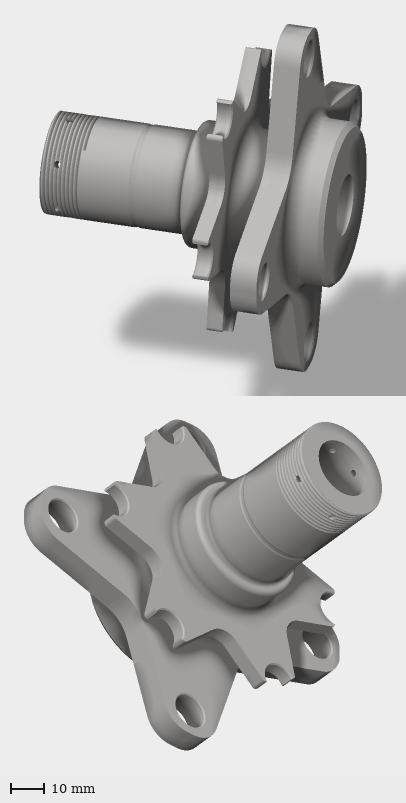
import cadquery as cq
import math

thread_length = 12.7
oil_hole_x = 5.05
groove_center = 29.0
shoulder_x = 45.2
sprocket_front = 56.1
sprocket_back = 61.1
flange_front = 72.4
flange_back = 80.65
total_length = 91.95

bore_radius = 9.525
shaft_radius = 15.875
body_radius = 19.6
neck_radius = 19.4
boss_radius = 25.4

shoulder_root_fillet = 1.1
shoulder_edge_fillet = 1.5
sprocket_front_fillet = 1.75
neck_fillet = 3.15
boss_end_chamfer = 1.5

groove_width = 2.1
groove_floor_width = 0.9
groove_depth = 0.2

thread_pitch = 1.27
thread_depth = 0.78
thread_overlap = 0.2
thread_groove_width = 0.9 * thread_pitch
thread_start_angle = 40

oil_hole_diameter = 2.2
oil_hole_count = 6

taper_angle = math.radians(17.5)
hole_radius = 5.55
hole_chamfer = 0.4

root_tolerance = 0.1

lug_count = 4
lug_span = 117.35
lug_reach = lug_span / 2
lug_edge_distance = 25.4
lug_corner_radius = 9.3
bolt_circle_radius = 50.0
flange_hub_radius = 30.2
flange_root_fillet = 11.2

arm_count = 6
arm_reach = 43.25
arm_edge_distance = 19.7
sprocket_hub_radius = 29.1
arm_root_fillet = 6.45
arm_tip_fillet = 1.2
seat_center_radius = 43.4


def turned_body():
    """Shaft, body, neck and boss as one revolved outline with fillets and a chamfer."""
    outline = (
        cq.Workplane("XY")
        .moveTo(0, 0)
        .lineTo(0, shaft_radius)
        .lineTo(shoulder_x - shoulder_root_fillet, shaft_radius)
        .radiusArc((shoulder_x, shaft_radius + shoulder_root_fillet), -shoulder_root_fillet)
        .lineTo(shoulder_x, body_radius - shoulder_edge_fillet)
        .radiusArc((shoulder_x + shoulder_edge_fillet, body_radius), shoulder_edge_fillet)
        .lineTo(sprocket_front - sprocket_front_fillet, body_radius)
        .radiusArc((sprocket_front, body_radius + sprocket_front_fillet), -sprocket_front_fillet)
        .lineTo(sprocket_back, body_radius + sprocket_front_fillet)
        .lineTo(sprocket_back, neck_radius + neck_fillet)
        .radiusArc((sprocket_back + neck_fillet, neck_radius), -neck_fillet)
        .lineTo(flange_front - neck_fillet, neck_radius)
        .radiusArc((flange_front, neck_radius + neck_fillet), -neck_fillet)
        .lineTo(flange_back, neck_radius + neck_fillet)
        .lineTo(flange_back, boss_radius + neck_fillet)
        .radiusArc((flange_back + neck_fillet, boss_radius), -neck_fillet)
        .lineTo(total_length - boss_end_chamfer, boss_radius)
        .lineTo(total_length, boss_radius - boss_end_chamfer)
        .lineTo(total_length, 0)
        .close()
    )
    return outline.revolve(360, (0, 0, 0), (1, 0, 0))


def tapered_arm(edge_distance, reach, front, back):
    """Plate from the axis out along +Z whose sides taper inwards to a flat end."""

    def half_width(z):
        return edge_distance / math.cos(taper_angle) - z * math.tan(taper_angle)

    corners = [
        (-half_width(0), 0),
        (half_width(0), 0),
        (half_width(reach), reach),
        (-half_width(reach), reach),
    ]
    return cq.Workplane("YZ", origin=(front, 0, 0)).polyline(corners).close().extrude(back - front)


def repeat_about_axis(feature, count):
    """Copies of a feature spaced evenly about the X axis."""
    return [feature.rotate((0, 0, 0), (1, 0, 0), index * 360 / count) for index in range(count)]


def star(arm, count, hub_radius, root_fillet, front, back):
    """The arm repeated evenly around a round hub, with the corners between hub and arms filleted."""
    plate = cq.Workplane("YZ", origin=(front, 0, 0)).circle(hub_radius).extrude(back - front)
    for copy in repeat_about_axis(arm, count):
        plate = plate.union(copy)

    def on_hub_rim(edge):
        center = edge.Center()
        return abs(math.hypot(center.y, center.z) - hub_radius) < root_tolerance

    roots = [edge for edge in plate.edges("|X").vals() if on_hub_rim(edge)]
    return plate.newObject(roots).fillet(root_fillet)


def chamfered_hole(z, front, back):
    """Cutter along X for a hole that is chamfered at both faces of a plate."""
    middle = (front + back) / 2
    half = (
        cq.Workplane("XY")
        .moveTo(front, 0)
        .lineTo(front, hole_radius + hole_chamfer)
        .lineTo(front + hole_chamfer, hole_radius)
        .lineTo(middle, hole_radius)
        .lineTo(middle, 0)
        .close()
        .revolve(360, (0, 0, 0), (1, 0, 0))
    )
    cutter = half.union(half.mirror("YZ", (middle, 0, 0)))
    return cutter.translate((0, 0, z))


def sprocket():
    """Six tapered arms, each with an open round seat in its end."""
    arm = tapered_arm(arm_edge_distance, arm_reach, sprocket_front, sprocket_back)
    arm = arm.edges("|X and >Z").fillet(arm_tip_fillet)
    plate = star(arm, arm_count, sprocket_hub_radius, arm_root_fillet, sprocket_front, sprocket_back)
    seat = chamfered_hole(seat_center_radius, sprocket_front, sprocket_back)
    for copy in repeat_about_axis(seat, arm_count):
        plate = plate.cut(copy)
    return plate.rotate((0, 0, 0), (1, 0, 0), 90)


def flange():
    """Four tapered lugs, each with a chamfered bolt hole."""
    lug = tapered_arm(lug_edge_distance, lug_reach, flange_front, flange_back)
    lug = lug.edges("|X and >Z").fillet(lug_corner_radius)
    plate = star(lug, lug_count, flange_hub_radius, flange_root_fillet, flange_front, flange_back)
    hole = chamfered_hole(bolt_circle_radius, flange_front, flange_back)
    for copy in repeat_about_axis(hole, lug_count):
        plate = plate.cut(copy)
    return plate


def ring_groove():
    """Cutter for the shallow groove with sloping sides around the shaft."""
    floor_radius = shaft_radius - groove_depth
    return (
        cq.Workplane("XY")
        .moveTo(groove_center - groove_width / 2, shaft_radius)
        .lineTo(groove_center - groove_floor_width / 2, floor_radius)
        .lineTo(groove_center + groove_floor_width / 2, floor_radius)
        .lineTo(groove_center + groove_width / 2, shaft_radius)
        .close()
        .revolve(360, (0, 0, 0), (1, 0, 0))
    )


def thread_cutter():
    """V-section swept along a right-hand helix that starts one pitch outside the shaft end."""
    path = cq.Wire.makeHelix(
        thread_pitch,
        thread_pitch + thread_length,
        shaft_radius,
        cq.Vector(-thread_pitch, 0, 0),
        cq.Vector(1, 0, 0),
    )
    start = path.startPoint()
    axial = cq.Vector(1, 0, 0)
    outward = cq.Vector(0, start.y, start.z)
    section_plane = cq.Plane(origin=start, xDir=axial, normal=axial.cross(outward))
    section = (
        cq.Workplane(section_plane)
        .moveTo(0, -thread_depth)
        .lineTo(thread_groove_width / 2, thread_overlap)
        .lineTo(-thread_groove_width / 2, thread_overlap)
        .close()
    )
    groove = section.sweep(cq.Workplane(path), isFrenet=True)
    return groove.rotate((0, 0, 0), (1, 0, 0), thread_start_angle)


def oil_hole():
    """Cutter for one radial hole through the threaded wall, pointing up."""
    return (
        cq.Workplane("XY", origin=(oil_hole_x, 0, 0))
        .circle(oil_hole_diameter / 2)
        .extrude(2 * shaft_radius)
    )


def bore():
    """Cutter for the plain bore through the whole part."""
    return cq.Workplane("YZ").circle(bore_radius).extrude(total_length)


result = turned_body().union(sprocket()).union(flange())
result = result.cut(bore()).cut(ring_groove())
for hole in repeat_about_axis(oil_hole(), oil_hole_count):
    result = result.cut(hole)
result = result.cut(thread_cutter())